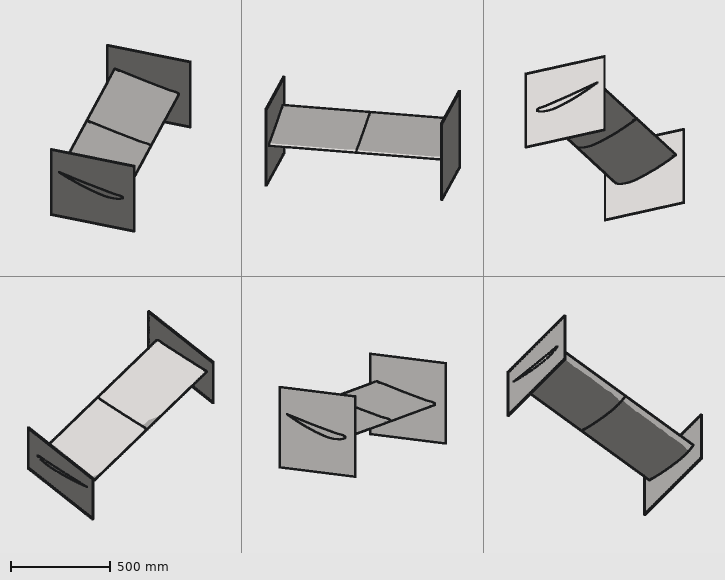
import cadquery as cq
import math

SPAN = 910.0
PLATE_LENGTH = 441.0
PLATE_HEIGHT = 415.0
PLATE_THICKNESS = 5.0

PANEL_COUNT = 2
PANEL_SPAN = (SPAN - 2 * PLATE_THICKNESS) / PANEL_COUNT
CHORD = 350.0
PITCH_DEG = 13.5
TRAILING_EDGE_X = -180.0
TRAILING_EDGE_Z = 71.0

CAMBER = 0.05
CAMBER_POSITION = 0.3
THICKNESS = 0.1
STEPS_PER_SIDE = 10


def section_offsets(station):
    """Return the camber height and half thickness, as fractions of the chord."""
    half_thickness = 5 * THICKNESS * (
        0.2969 * math.sqrt(station)
        - 0.1260 * station
        - 0.3516 * station**2
        + 0.2843 * station**3
        - 0.1036 * station**4
    )
    if station < CAMBER_POSITION:
        reach = CAMBER_POSITION
        lead = 0.0
    else:
        reach = 1 - CAMBER_POSITION
        lead = 1 - 2 * CAMBER_POSITION
    camber = CAMBER / reach**2 * (lead + 2 * CAMBER_POSITION * station - station**2)
    return camber, half_thickness


def section_point(step):
    """Step from the trailing edge over the top, round the nose and back underneath."""
    angle = math.pi * step / STEPS_PER_SIDE
    station = (1 + math.cos(angle)) / 2
    camber, half_thickness = section_offsets(station)
    side = 1 if step < STEPS_PER_SIDE else -1
    along = CHORD * (1 - station)
    up = CHORD * (side * half_thickness - camber)
    pitch = math.radians(PITCH_DEG)
    x = TRAILING_EDGE_X + along * math.cos(pitch) + up * math.sin(pitch)
    z = TRAILING_EDGE_Z - along * math.sin(pitch) + up * math.cos(pitch)
    return x, z


def wing_panel(y_start):
    """One wing panel, running from y_start towards +Y."""
    last_step = 2 * STEPS_PER_SIDE
    trailing_edge = (TRAILING_EDGE_X, TRAILING_EDGE_Z)
    surface_points = [section_point(step) for step in range(1, last_step)]
    return (
        cq.Workplane("XZ", origin=(0, y_start, 0))
        .moveTo(*trailing_edge)
        .spline([*surface_points, trailing_edge], includeCurrent=True)
        .wire()
        .extrude(-PANEL_SPAN)
    )


def end_plate(y_center):
    """Flat rectangular plate that closes one end of the wing."""
    return cq.Workplane("XY").box(PLATE_LENGTH, PLATE_THICKNESS, PLATE_HEIGHT).translate((0, y_center, 0))


WING_START = -SPAN / 2 + PLATE_THICKNESS
PLATE_OFFSET = (SPAN - PLATE_THICKNESS) / 2

wing_panels = [wing_panel(WING_START + index * PANEL_SPAN) for index in range(PANEL_COUNT)]
end_plates = [end_plate(side * PLATE_OFFSET) for side in (-1, 1)]

result = cq.Compound.makeCompound([body.val() for body in wing_panels + end_plates])